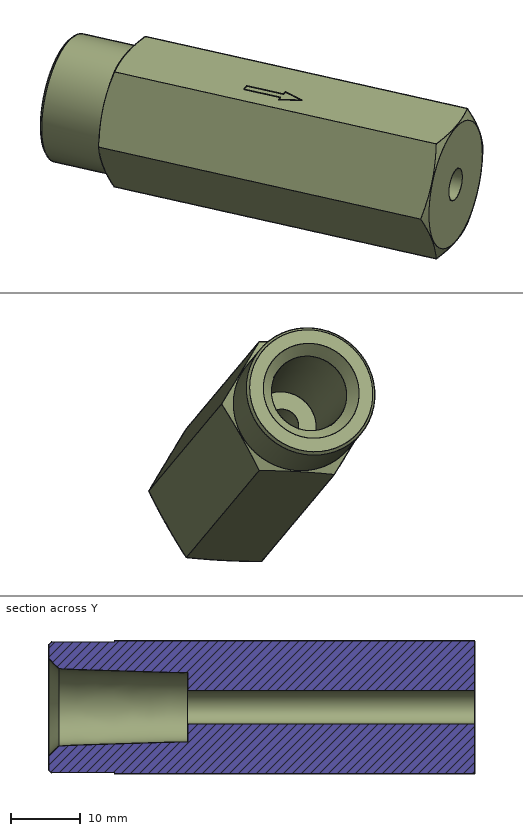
import cadquery as cq
import math

total_length = 60.96
across_flats = 19.05
hexagon_sides = 6
across_corners = across_flats / math.cos(math.pi / hexagon_sides)

collar_diameter = 18.8
collar_length = 9.4
collar_chamfer = 0.4

bevel_inner_diameter = collar_diameter
bevel_angle = math.radians(20)
bevel_length = (across_corners - bevel_inner_diameter) / 2 * math.tan(bevel_angle)

countersink_diameter = 14.0
bore_mouth_diameter = 11.0
bore_bottom_diameter = 9.85
countersink_depth = (countersink_diameter - bore_mouth_diameter) / 2
bore_taper = 1 / 16
bore_length = (bore_mouth_diameter - bore_bottom_diameter) / bore_taper
passage_diameter = 4.75

arrow_start_x = 28.9
arrow_center_y = -1.9
arrow_shaft_length = 5.75
arrow_shaft_width = 1.04
arrow_head_length = 3.1
arrow_head_width = 2.4
arrow_depth = 0.1


def revolve_about_x(profile):
    """Solid of revolution about the X axis from (x, radius) points."""
    return cq.Workplane("XY").polyline(profile).close().revolve(360, (0, 0, 0), (1, 0, 0))


def hexagon_body():
    """Hexagonal prism with flats on top and bottom, both ends bevelled."""
    prism = (
        cq.Workplane("YZ", origin=(collar_length, 0, 0))
        .polygon(hexagon_sides, across_corners)
        .extrude(total_length - collar_length)
    )
    inner_radius = bevel_inner_diameter / 2
    outer_radius = across_corners / 2
    bevel_envelope = revolve_about_x([
        (collar_length, 0),
        (collar_length, inner_radius),
        (collar_length + bevel_length, outer_radius),
        (total_length - bevel_length, outer_radius),
        (total_length, inner_radius),
        (total_length, 0),
    ])
    return prism.intersect(bevel_envelope)


def collar():
    """Round collar with a chamfered outer rim."""
    return (
        cq.Workplane("YZ")
        .circle(collar_diameter / 2)
        .extrude(collar_length)
        .faces("<X")
        .chamfer(collar_chamfer)
    )


def inlet_port():
    """Countersunk, tapered bore with a flat bottom."""
    bore_bottom_x = countersink_depth + bore_length
    return revolve_about_x([
        (0, 0),
        (0, countersink_diameter / 2),
        (countersink_depth, bore_mouth_diameter / 2),
        (bore_bottom_x, bore_bottom_diameter / 2),
        (bore_bottom_x, 0),
    ])


def passage():
    """Round passage along the full length."""
    return cq.Workplane("YZ").circle(passage_diameter / 2).extrude(total_length)


def flow_arrow():
    """Shallow arrow pointing from the collar toward the far end."""
    half_shaft = arrow_shaft_width / 2
    half_head = arrow_head_width / 2
    head_x = arrow_shaft_length
    tip_x = arrow_shaft_length + arrow_head_length
    return (
        cq.Workplane("XY", origin=(arrow_start_x, arrow_center_y, across_flats / 2))
        .polyline([
            (0, -half_shaft),
            (head_x, -half_shaft),
            (head_x, -half_head),
            (tip_x, 0),
            (head_x, half_head),
            (head_x, half_shaft),
            (0, half_shaft),
        ])
        .close()
        .extrude(-arrow_depth)
    )


result = (
    hexagon_body()
    .union(collar())
    .cut(inlet_port())
    .cut(passage())
    .cut(flow_arrow())
)